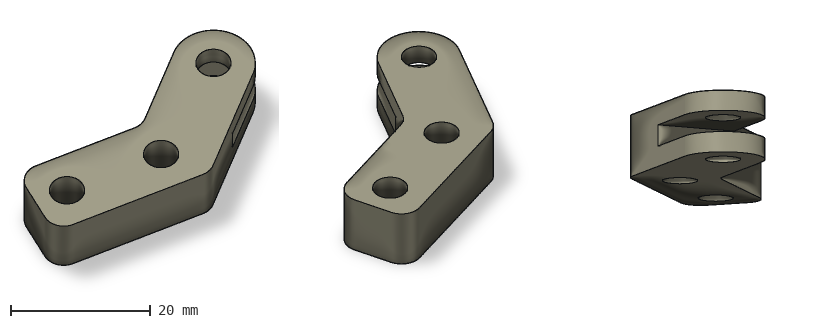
import cadquery as cq
import math

total_length = 40.1
total_width = 23.67
thickness = 9.0

arm_width = 12.0
corner_radius = 3.0
hole_diameter = 5.0
hole_spacing = 15.0
end_margin = 5.0

slot_height = 3.1
slot_depth_past_hole = 9.1

half_width = arm_width / 2
tip_x = arm_width - total_width
tip_y = total_length - end_margin - half_width
bend_y = tip_y + tip_x
diagonal = half_width * math.sqrt(0.5)
bend_shift = half_width * math.tan(math.radians(22.5))


def bent_body():
    """Two arms meeting at 45 degrees, with a round tip and rounded corners."""
    outline = (
        cq.Workplane("XY")
        .moveTo(-half_width, -end_margin)
        .lineTo(half_width, -end_margin)
        .lineTo(half_width, bend_y + bend_shift)
        .lineTo(tip_x + diagonal, tip_y + diagonal)
        .threePointArc(
            (tip_x - diagonal, tip_y + diagonal),
            (tip_x - diagonal, tip_y - diagonal),
        )
        .lineTo(-half_width, bend_y - bend_shift)
        .close()
    )
    body = outline.extrude(thickness)
    corners = [
        (-half_width, -end_margin),
        (half_width, -end_margin),
        (half_width, bend_y + bend_shift),
        (-half_width, bend_y - bend_shift),
    ]
    for x, y in corners:
        edge = cq.selectors.NearestToPointSelector((x, y, thickness / 2))
        body = body.edges("|Z").edges(edge).fillet(corner_radius)
    return body


def pin_holes():
    """Through holes: two along the straight arm and one at the round tip."""
    return (
        cq.Workplane("XY")
        .pushPoints([(0, 0), (0, hole_spacing), (tip_x, tip_y)])
        .circle(hole_diameter / 2)
        .extrude(thickness)
    )


def fork_slot():
    """Slot that splits the round tip, with a floor square to the leaning arm."""
    slot_length = slot_depth_past_hole + arm_width
    return (
        cq.Workplane("XY")
        .box(slot_length, 2 * arm_width, slot_height)
        .translate((slot_depth_past_hole - slot_length / 2, 0, thickness / 2))
        .rotate((0, 0, 0), (0, 0, 1), -45)
        .translate((tip_x, tip_y, 0))
    )


result = bent_body().cut(pin_holes()).cut(fork_slot())